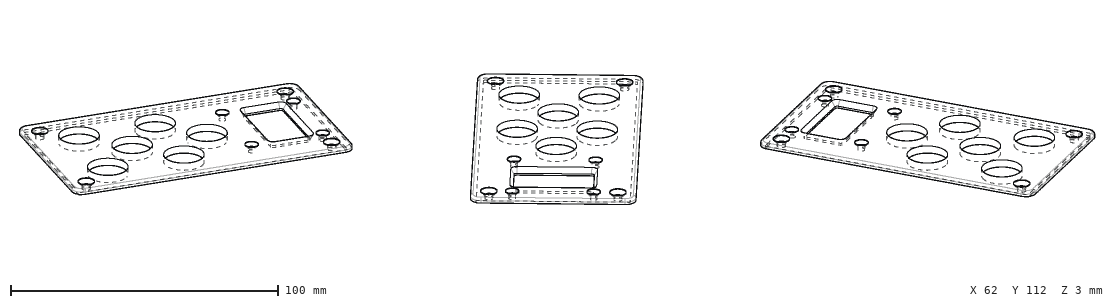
import cadquery as cq

plate_width = 62.0
plate_length = 112.0
plate_thickness = 2.0
plate_corner_radius = 4.0
plate_edge_round = 1.0

step_inset = 2.2
step_corner_radius = 0.5
step_height = 1.0
total_height = plate_thickness + step_height

mount_spacing_x = 48.3
mount_spacing_y = 98.3
mount_hole_diameter = 3.2
mount_sink_diameter = 6.2

display_x = 0.2
window_y = 36.45
window_width = 30.0
window_length = 15.8
window_corner_radius = 1.0
window_bevel = 1.25
window_lip = 0.8
display_screw_y = 34.7
display_screw_spacing_x = 30.5
display_screw_spacing_y = 28.5
display_hole_diameter = 2.7
display_sink_diameter = 5.1

sink_wall = 0.25

button_diameter = 15.2
button_pitch = 15.0
button_diamond_y = -6.5
button_pair_y = -37.0
button_centers = [
    (0, button_diamond_y + button_pitch),
    (-button_pitch, button_diamond_y),
    (button_pitch, button_diamond_y),
    (0, button_diamond_y - button_pitch),
    (-button_pitch, button_pair_y),
    (button_pitch, button_pair_y),
]


def rounded_block(width, length, height, corner_radius, base_z):
    """Centred block with rounded vertical edges, standing on base_z."""
    block = cq.Workplane("XY").workplane(offset=base_z).rect(width, length).extrude(height)
    return block.edges("|Z").fillet(corner_radius)


def make_body():
    plate = rounded_block(plate_width, plate_length, plate_thickness, plate_corner_radius, step_height)
    plate = plate.faces(">Z").edges().fillet(plate_edge_round)
    step = rounded_block(
        plate_width - 2 * step_inset,
        plate_length - 2 * step_inset,
        step_height,
        step_corner_radius,
        0,
    )
    return plate.union(step)


def rounded_outline(width, length, corner_radius):
    return cq.Sketch().rect(width, length).vertices().fillet(corner_radius)


def make_window_cutter():
    """Rounded window opening that flares outwards above a straight lip."""
    opening = rounded_block(window_width, window_length, total_height, window_corner_radius, 0)
    narrow_outline = rounded_outline(window_width, window_length, window_corner_radius)
    wide_outline = rounded_outline(
        window_width + 2 * window_bevel,
        window_length + 2 * window_bevel,
        window_corner_radius + window_bevel,
    )
    flare_height = total_height - window_lip
    flare = (
        cq.Workplane("XY")
        .workplane(offset=window_lip)
        .placeSketch(narrow_outline, wide_outline.moved(cq.Location(cq.Vector(0, 0, flare_height))))
        .loft(ruled=True)
    )
    return opening.union(flare).translate((display_x, window_y, 0))


def make_screw_cutter(hole_diameter, sink_diameter):
    """Revolved through hole with a countersink at the top face."""
    hole_radius = hole_diameter / 2
    sink_radius = sink_diameter / 2
    cone_top = total_height - sink_wall
    cone_bottom = cone_top - (sink_radius - hole_radius)
    profile = [
        (0, 0),
        (hole_radius, 0),
        (hole_radius, cone_bottom),
        (sink_radius, cone_top),
        (sink_radius, total_height),
        (0, total_height),
    ]
    return cq.Workplane("XZ").polyline(profile).close().revolve()


def cut_screw_pattern(body, center, spacing, hole_diameter, sink_diameter):
    """Four countersunk through holes on the corners of a rectangle."""
    cutter = make_screw_cutter(hole_diameter, sink_diameter)
    for side_x in (-1, 1):
        for side_y in (-1, 1):
            x = center[0] + side_x * spacing[0] / 2
            y = center[1] + side_y * spacing[1] / 2
            body = body.cut(cutter.translate((x, y, 0)))
    return body


def cut_buttons(body):
    cutter = cq.Workplane("XY").pushPoints(button_centers).circle(button_diameter / 2).extrude(total_height)
    return body.cut(cutter)


result = make_body().cut(make_window_cutter())
result = cut_screw_pattern(
    result, (0, 0), (mount_spacing_x, mount_spacing_y), mount_hole_diameter, mount_sink_diameter
)
result = cut_screw_pattern(
    result,
    (display_x, display_screw_y),
    (display_screw_spacing_x, display_screw_spacing_y),
    display_hole_diameter,
    display_sink_diameter,
)
result = cut_buttons(result)